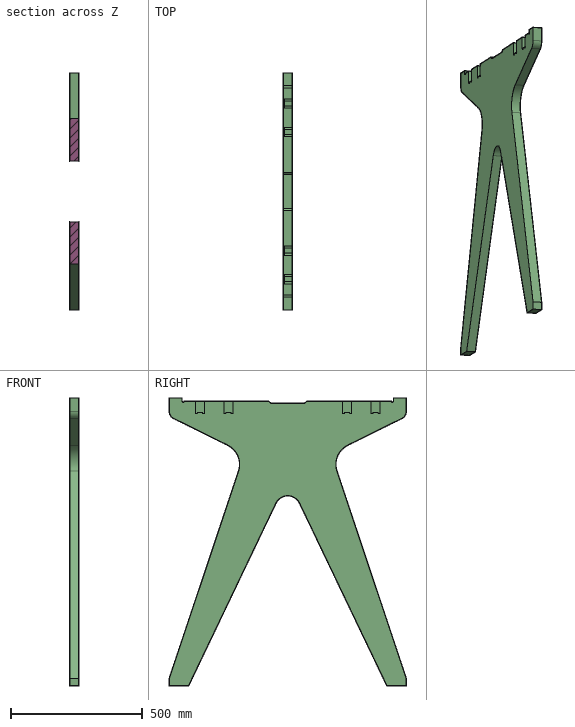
import cadquery as cq

thickness = 35.0
width = 900.0
height = 1092.0
half_width = width / 2

stop_width = 49.0
stop_height = 12.0
recess_depth = 8.0
recess_floor_half_width = 64.0
seat_z = height - stop_height
stop_inner_y = half_width - stop_width
recess_z = seat_z - recess_depth
recess_top_half_width = recess_floor_half_width + recess_depth

wing_tip_z = 1022.0
throat_y = 165.0
throat_z = 881.0
foot_side_z = 28.0
foot_width = 74.0
foot_inner_y = half_width - foot_width
crotch_z = 785.0

wing_tip_radius = 31.0
throat_radius = 81.0
crotch_radius = 49.0

housing_centers = (225.0, 333.0)
housing_width = thickness
housing_depth = 44.0
housing_skin = 4.0
housing_floor_z = seat_z - housing_depth

relief_radius = 4.0


def board():
    """Board with its mirrored outline and rounded wing tips, throats and crotch."""
    right_side = [
        (recess_floor_half_width, recess_z),
        (recess_top_half_width, seat_z),
        (stop_inner_y, seat_z),
        (stop_inner_y, height),
        (half_width, height),
        (half_width, wing_tip_z),
        (throat_y, throat_z),
        (half_width, foot_side_z),
        (half_width, 0),
        (foot_inner_y, 0),
    ]
    left_side = [(-y, z) for y, z in reversed(right_side)]
    outline = right_side + [(0, crotch_z)] + left_side
    body = cq.Workplane("YZ").polyline(outline).close().extrude(thickness / 2, both=True)

    rounded_corners = [(0, crotch_z, crotch_radius)]
    for side in (-1, 1):
        rounded_corners.append((side * half_width, wing_tip_z, wing_tip_radius))
        rounded_corners.append((side * throat_y, throat_z, throat_radius))
    for y, z, radius in rounded_corners:
        corner_edge = cq.selectors.NearestToPointSelector((0, y, z))
        body = body.edges("|X").edges(corner_edge).fillet(radius)
    return body


def relief(y, z, start_x):
    """Round cutter along X, centred at (y, z), from start_x to the +X face."""
    plane = cq.Workplane("YZ", origin=(start_x, y, z))
    return plane.circle(relief_radius).extrude(thickness / 2 - start_x)


def housing(center_y):
    """Cutter for one rail housing, with a relief at each floor corner."""
    start_x = -thickness / 2 + housing_skin
    length_x = thickness / 2 - start_x
    pocket = cq.Workplane("XY", origin=(start_x, center_y, housing_floor_z)).box(
        length_x, housing_width, housing_depth, centered=(False, True, False)
    )
    relief_offset = housing_width / 2 - relief_radius
    for side in (-1, 1):
        pocket = pocket.union(relief(center_y + side * relief_offset, housing_floor_z, start_x))
    return pocket


result = board()
for side in (-1, 1):
    result = result.cut(relief(side * (stop_inner_y - relief_radius), seat_z, -thickness / 2))
    for center_y in housing_centers:
        result = result.cut(housing(side * center_y))